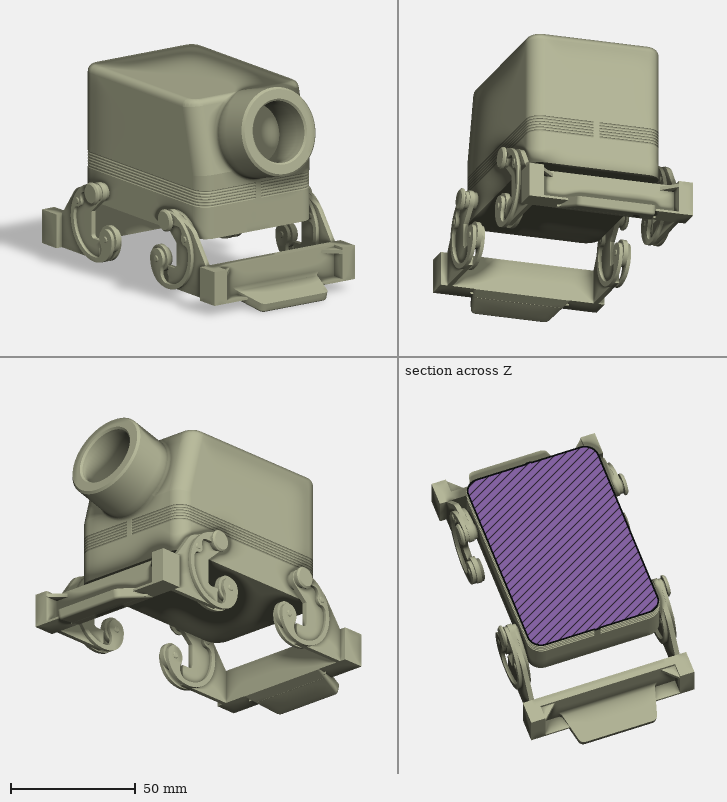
import cadquery as cq
import math

HOOD_LENGTH = 82.0
HOOD_WIDTH = 56.0
HOOD_HEIGHT = 55.8
CORNER_RADIUS = 6.0
TOP_RADIUS = 3.0
SLANT_ANGLE = 15.0
SLANT_START_Z = 26.5

GROOVE_COUNT = 6
GROOVE_RADIUS = 0.4
GROOVE_PITCH = 1.2
GROOVE_FIRST_Z = 13.6
GROOVE_GAP = 2.5

ENTRY_RADIUS = 18.0
ENTRY_LENGTH = 18.5
ENTRY_UP_SLANT = 13.2
ENTRY_RIM_CHAMFER = 0.9
ENTRY_ROOT_RADIUS = 1.0
ENTRY_ROOT_DEPTH = 8.0
CREASE_BOX_LOW = (31.5, -20.0, 20.0)
CREASE_BOX_HIGH = (44.0, 20.0, 70.0)
BORE_RADIUS = 12.5
BORE_CHAMFER = 0.75

LAYER_MID_Y = 31.0
PLATE_THICKNESS = 2.0
CHEEK_STACK = 5.0
RIVET_STACK = 5.8

PIN_X = -25.0
PIN_Z = 6.0
PIN_RADIUS = 2.6
PIN_EMBED = 1.0
HEAD_RADIUS = 4.5
HEAD_THICKNESS = 1.4
HEAD_EDGE = 0.7
OVERALL_WIDTH = 71.0

CHEEK_X = PIN_X
CHEEK_Z = -6.5
CHEEK_OUTER_RADIUS = 16.0
CHEEK_INNER_RADIUS = 14.0
HOOK_X = -17.4
HOOK_Z = -11.7
HOOK_RADIUS = 4.2
HOOK_OUTER_BLEND = 10.0
HOOK_INNER_BLEND = 4.0
ROLLER_RADIUS = 5.5
RIVET_RADIUS = 1.35
RIVET_CHAMFER = 0.35
LUG_X = -36.6
LUG_Z = 0.4
LUG_RADIUS = 2.5
LUG_UPPER_BLEND = 2.5
LUG_LOWER_BLEND = 2.5
ARM_LOWER_Z = 4.85

PLATE_PIN_RADIUS = 4.0
PLATE_BOTTOM_Z = -22.0
SHOULDER = (-39.6, 4.7)
SHOULDER_RADIUS = 7.0
NOTCH_SIDE_X = -29.0
NOTCH_TOP_Z = -2.7
NOTCH_FLOOR_Z = -13.6
NOTCH_RADIUS = 1.6
TOE_TOP_X = -23.4
TOE_BOTTOM_X = -23.9

BAR_OUTER_X = -58.8
BAR_INNER_X = -49.0
BAR_TOP_Z = -8.0
BAR_HALF_WIDTH = 34.75
BAR_END_BLOCK = 6.1
BAR_WALL = 3.8
BAR_FLOOR = 0.9
GUSSET_DROP = 1.1
GUSSET_THICKNESS = 1.5

TAB_ANGLE = 15.0
TAB_THICKNESS = 4.0
TAB_TIP_X = -66.535
TAB_ROOT_Z = -19.0
TAB_ROOT_HALF_WIDTH = 20.0
TAB_TAPER = 15.0
TAB_CORNER_RADIUS = 2.4
TAB_BOTTOM_RADIUS = 1.0
TAB_ROOT_BLEND = 1.5
TAB_BLEND_BOTTOM_Z = -22.8
ROOT_TOLERANCE = 0.01


def polar(center, radius, toward):
    """Point on a circle in the direction of another point."""
    dx = toward[0] - center[0]
    dz = toward[1] - center[1]
    length = math.hypot(dx, dz)
    return (center[0] + radius * dx / length, center[1] + radius * dz / length)


def crossing(c1, r1, c2, r2, side):
    """Crossing of two circles; side is +1 (left of c1->c2) or -1 (right)."""
    dx = c2[0] - c1[0]
    dz = c2[1] - c1[1]
    dist = math.hypot(dx, dz)
    along = (r1 ** 2 - r2 ** 2 + dist ** 2) / (2 * dist)
    off = side * math.sqrt(r1 ** 2 - along ** 2)
    return (c1[0] + (along * dx - off * dz) / dist, c1[1] + (along * dz + off * dx) / dist)


def tangent_point(point, center, radius, side):
    """Point where a line from an outside point touches a circle."""
    dist = math.hypot(point[0] - center[0], point[1] - center[1])
    return crossing(point, math.sqrt(dist ** 2 - radius ** 2), center, radius, side)


def layer(thickness):
    """XZ sketch plane whose extrusion is centred on the lever layer."""
    return cq.Workplane("XZ", origin=(0, LAYER_MID_Y + thickness / 2, 0))


def disc(center, radius, thickness):
    return layer(thickness).center(*center).circle(radius).extrude(thickness)


def make_hood():
    half = HOOD_LENGTH / 2
    slant_run = (HOOD_HEIGHT - SLANT_START_Z) * math.tan(math.radians(SLANT_ANGLE))
    outline = [
        (-half, 0),
        (half, 0),
        (half, SLANT_START_Z),
        (half - slant_run, HOOD_HEIGHT),
        (-half, HOOD_HEIGHT),
    ]
    hood = cq.Workplane("XZ").polyline(outline).close().extrude(HOOD_WIDTH / 2, both=True)
    slant_dir = cq.Vector(-math.sin(math.radians(SLANT_ANGLE)), 0, math.cos(math.radians(SLANT_ANGLE)))
    hood = hood.edges(cq.selectors.ParallelDirSelector(slant_dir) + cq.StringSyntaxSelector("|Z"))
    hood = hood.fillet(CORNER_RADIUS)
    return hood.faces(">Z").edges().fillet(TOP_RADIUS)


def cut_grooves(hood):
    """Half-round grooves following the hood outline, broken at both ends."""
    path = cq.Workplane("XY").rect(HOOD_LENGTH, HOOD_WIDTH).extrude(1).edges("|Z").fillet(CORNER_RADIUS)
    ring_path = cq.Workplane(path.faces("<Z").wires().val())
    start = (0, -HOOD_WIDTH / 2, 0)
    groove = cq.Workplane("YZ", origin=start).circle(GROOVE_RADIUS).sweep(ring_path)
    strip = cq.Workplane("XY").box(2 * HOOD_LENGTH, GROOVE_GAP, 4 * GROOVE_RADIUS)
    groove = groove.cut(strip)
    for i in range(GROOVE_COUNT):
        hood = hood.cut(groove.translate((0, 0, GROOVE_FIRST_Z + i * GROOVE_PITCH)))
    return hood


def entry_plane():
    """Plane on the slanted face, normal along the cable-entry axis."""
    angle = math.radians(SLANT_ANGLE)
    origin = (
        HOOD_LENGTH / 2 - ENTRY_UP_SLANT * math.sin(angle),
        0,
        SLANT_START_Z + ENTRY_UP_SLANT * math.cos(angle),
    )
    return cq.Plane(origin=origin, xDir=(0, 1, 0), normal=(math.cos(angle), 0, math.sin(angle)))


def add_entry(hood):
    plane = entry_plane()
    base = cq.Workplane(plane).workplane(offset=-ENTRY_ROOT_DEPTH)
    tube = base.circle(ENTRY_RADIUS).extrude(ENTRY_LENGTH + ENTRY_ROOT_DEPTH)
    tube = tube.faces(cq.selectors.DirectionMinMaxSelector(plane.zDir)).edges().chamfer(ENTRY_RIM_CHAMFER)
    body = hood.union(tube)
    crease = body.edges(cq.selectors.BoxSelector(CREASE_BOX_LOW, CREASE_BOX_HIGH)).edges("not %LINE")
    return crease.fillet(ENTRY_ROOT_RADIUS)


def bore_entry(body):
    mouth = cq.Workplane(entry_plane()).workplane(offset=ENTRY_LENGTH)
    body = body.cut(mouth.circle(BORE_RADIUS).extrude(-ENTRY_LENGTH))
    cone = mouth.circle(BORE_RADIUS + BORE_CHAMFER).extrude(-BORE_RADIUS - BORE_CHAMFER, taper=45)
    return body.cut(cone)


def make_cheeks():
    ring = (CHEEK_X, CHEEK_Z)
    hook = (HOOK_X, HOOK_Z)
    lug = (LUG_X, LUG_Z)
    pin_radius = CHEEK_Z + CHEEK_OUTER_RADIUS - PIN_Z
    outer_blend = crossing(
        ring, CHEEK_OUTER_RADIUS - HOOK_OUTER_BLEND, hook, HOOK_OUTER_BLEND - HOOK_RADIUS, -1)
    inner_blend = crossing(
        ring, CHEEK_INNER_RADIUS - HOOK_INNER_BLEND, hook, HOOK_RADIUS + HOOK_INNER_BLEND, -1)
    lug_low = crossing(
        ring, CHEEK_INNER_RADIUS - LUG_LOWER_BLEND, lug, LUG_RADIUS + LUG_LOWER_BLEND, 1)
    lug_high_z = ARM_LOWER_Z - LUG_UPPER_BLEND
    reach = LUG_RADIUS + LUG_UPPER_BLEND
    lug_high = (LUG_X + math.sqrt(reach ** 2 - (lug_high_z - LUG_Z) ** 2), lug_high_z)

    def beyond(center, other):
        """Point on the far side of `center` from `other`."""
        return (2 * center[0] - other[0], 2 * center[1] - other[1])

    def mid_arc(center, radius, a, b):
        """Middle of the shorter arc between two points of a circle."""
        return polar(center, radius, ((a[0] + b[0]) / 2, (a[1] + b[1]) / 2))

    top = (PIN_X, PIN_Z + pin_radius)
    outer_end = polar(outer_blend, HOOK_OUTER_BLEND, beyond(outer_blend, ring))
    hook_out = polar(hook, HOOK_RADIUS, beyond(hook, outer_blend))
    hook_in = polar(hook, HOOK_RADIUS, inner_blend)
    inner_end = polar(inner_blend, HOOK_INNER_BLEND, beyond(inner_blend, ring))
    lug_low_ring = polar(lug_low, LUG_LOWER_BLEND, beyond(lug_low, ring))
    lug_low_lug = polar(lug, LUG_RADIUS, lug_low)
    lug_high_lug = polar(lug, LUG_RADIUS, lug_high)
    arm_start = (lug_high[0], ARM_LOWER_Z)
    pin_drop = ARM_LOWER_Z - PIN_Z
    arm_end = (PIN_X - math.sqrt(pin_radius ** 2 - pin_drop ** 2), ARM_LOWER_Z)

    cheeks = (
        layer(CHEEK_STACK)
        .moveTo(*top)
        .threePointArc((CHEEK_X - CHEEK_OUTER_RADIUS, CHEEK_Z), outer_end)
        .threePointArc(mid_arc(outer_blend, HOOK_OUTER_BLEND, outer_end, hook_out), hook_out)
        .threePointArc((HOOK_X, HOOK_Z + HOOK_RADIUS), hook_in)
        .threePointArc(mid_arc(inner_blend, HOOK_INNER_BLEND, hook_in, inner_end), inner_end)
        .threePointArc(mid_arc(ring, CHEEK_INNER_RADIUS, inner_end, lug_low_ring), lug_low_ring)
        .threePointArc(mid_arc(lug_low, LUG_LOWER_BLEND, lug_low_ring, lug_low_lug), lug_low_lug)
        .threePointArc(mid_arc(lug, LUG_RADIUS, lug_low_lug, lug_high_lug), lug_high_lug)
        .threePointArc(mid_arc(lug_high, LUG_UPPER_BLEND, lug_high_lug, arm_start), arm_start)
        .lineTo(*arm_end)
        .threePointArc((PIN_X + pin_radius, PIN_Z), top)
        .close()
        .extrude(CHEEK_STACK)
    )
    clearance = disc(ring, 2 * CHEEK_OUTER_RADIUS, PLATE_THICKNESS)
    return cheeks.cut(clearance)


def make_plate():
    pin = (PIN_X, PIN_Z)
    notch_top = (NOTCH_SIDE_X, NOTCH_TOP_Z)
    upper = tangent_point(SHOULDER, pin, PLATE_PIN_RADIUS, 1)
    lower = tangent_point(notch_top, pin, PLATE_PIN_RADIUS, -1)
    plate = (
        layer(PLATE_THICKNESS)
        .moveTo(BAR_INNER_X, PLATE_BOTTOM_Z)
        .lineTo(BAR_INNER_X, BAR_TOP_Z)
        .lineTo(*SHOULDER)
        .lineTo(*upper)
        .threePointArc((PIN_X + PLATE_PIN_RADIUS, PIN_Z), lower)
        .lineTo(*notch_top)
        .lineTo(NOTCH_SIDE_X, NOTCH_FLOOR_Z)
        .lineTo(TOE_TOP_X, NOTCH_FLOOR_Z)
        .lineTo(TOE_BOTTOM_X, PLATE_BOTTOM_Z)
        .close()
        .extrude(PLATE_THICKNESS)
    )

    def edge_at(point):
        return cq.selectors.NearestToPointSelector((point[0], LAYER_MID_Y, point[1]))

    plate = plate.edges("|Y").edges(edge_at(SHOULDER)).fillet(SHOULDER_RADIUS)
    return plate.edges("|Y").edges(edge_at((NOTCH_SIDE_X, NOTCH_FLOOR_Z))).fillet(NOTCH_RADIUS)


def make_pin():
    inner_y = HOOD_WIDTH / 2 - PIN_EMBED
    outer_y = OVERALL_WIDTH / 2
    outer_plane = cq.Workplane("XZ", origin=(PIN_X, outer_y, PIN_Z))
    shank = outer_plane.circle(PIN_RADIUS).extrude(outer_y - inner_y)
    head = outer_plane.circle(HEAD_RADIUS).extrude(HEAD_THICKNESS)
    head = head.faces(">Y").edges().chamfer(HEAD_EDGE)
    return shank.union(head)


def make_lever_side():
    """Everything at one end of the handle bar, on the +Y side."""
    side = make_plate().union(make_cheeks())
    side = side.union(disc((HOOK_X, HOOK_Z), ROLLER_RADIUS, PLATE_THICKNESS))
    for center in ((LUG_X, LUG_Z), (HOOK_X, HOOK_Z)):
        side = side.union(disc(center, RIVET_RADIUS, RIVET_STACK).faces("<Y or >Y").chamfer(RIVET_CHAMFER))
    return side.union(make_pin())


def make_tab():
    """Flat tapered plate, sloping down and away from the bar wall."""
    angle = math.radians(TAB_ANGLE)
    taper = math.tan(math.radians(TAB_TAPER))
    wall_x = BAR_INNER_X - BAR_WALL
    outside = (wall_x - TAB_TIP_X) / math.cos(angle)
    inside = 2 * BAR_WALL
    tip_half = TAB_ROOT_HALF_WIDTH - outside * taper
    heel_half = TAB_ROOT_HALF_WIDTH + inside * taper
    top_face = cq.Plane(
        origin=(wall_x, 0, TAB_ROOT_Z),
        xDir=(math.cos(angle), 0, math.sin(angle)),
        normal=(-math.sin(angle), 0, math.cos(angle)),
    )
    plan = [(-outside, -tip_half), (inside, -heel_half), (inside, heel_half), (-outside, tip_half)]
    tab = cq.Workplane(top_face).polyline(plan).close().extrude(-TAB_THICKNESS)
    upright = cq.selectors.ParallelDirSelector(top_face.zDir)
    tip = cq.selectors.DirectionMinMaxSelector(top_face.xDir, directionMax=False)
    tab = tab.edges(upright).edges(tip).fillet(TAB_CORNER_RADIUS)
    tab = tab.faces(cq.selectors.DirectionMinMaxSelector(top_face.zDir, directionMax=False))
    tab = tab.edges().fillet(TAB_BOTTOM_RADIUS)
    span = BAR_INNER_X - 2 * TAB_TIP_X
    keep = cq.Workplane("XY").box(span, 2 * BAR_HALF_WIDTH, span)
    return tab.intersect(keep.translate((BAR_INNER_X - span / 2, 0, 0)))


def make_tab_root():
    """Tab joined to the bar wall, with its top and sides blended into the wall."""
    wall_x = BAR_INNER_X - BAR_WALL
    depth = 2 * (BAR_TOP_Z - PLATE_BOTTOM_Z)

    def block_below(front_x, top_z):
        block = cq.Workplane("XY", origin=(front_x, -BAR_HALF_WIDTH, top_z - depth))
        return block.box(BAR_INNER_X - front_x, 2 * BAR_HALF_WIDTH, depth, centered=False)

    tab = make_tab()
    root = block_below(wall_x, BAR_TOP_Z).union(tab)
    corner = (wall_x, TAB_ROOT_HALF_WIDTH + TAB_THICKNESS, TAB_ROOT_Z + TAB_THICKNESS)
    opposite = (wall_x, -corner[1], TAB_ROOT_Z - 2 * TAB_THICKNESS)
    around = cq.selectors.BoxSelector(
        (wall_x - ROOT_TOLERANCE, opposite[1], opposite[2]),
        (wall_x + ROOT_TOLERANCE, corner[1], corner[2]),
    )
    root = root.edges(around).fillet(TAB_ROOT_BLEND)
    root = root.cut(block_below(wall_x, PLATE_BOTTOM_Z))
    root = root.cut(block_below(wall_x - TAB_ROOT_BLEND, TAB_BLEND_BOTTOM_Z))
    return root.union(tab)


def make_bar():
    """Channel open upwards and outwards, with corner gussets and the finger tab."""
    length = BAR_INNER_X - BAR_OUTER_X
    wall_x = BAR_INNER_X - BAR_WALL
    pocket_half = BAR_HALF_WIDTH - BAR_END_BLOCK
    height = BAR_TOP_Z - PLATE_BOTTOM_Z
    corner = cq.Workplane("XY", origin=(BAR_OUTER_X, -BAR_HALF_WIDTH, PLATE_BOTTOM_Z))
    bar = corner.box(length, 2 * BAR_HALF_WIDTH, height, centered=False)
    pocket = cq.Workplane("XY", origin=(BAR_OUTER_X, -pocket_half, PLATE_BOTTOM_Z + BAR_FLOOR))
    bar = bar.cut(pocket.box(length - BAR_WALL, 2 * pocket_half, height, centered=False))
    leg = wall_x - BAR_OUTER_X
    gusset_top = cq.Workplane("XY", origin=(0, 0, BAR_TOP_Z - GUSSET_DROP))
    triangle = [(wall_x, pocket_half), (wall_x - leg, pocket_half), (wall_x, pocket_half - leg)]
    gusset = gusset_top.polyline(triangle).close().extrude(-GUSSET_THICKNESS)
    bar = bar.union(gusset).union(gusset.mirror("XZ"))
    return bar.union(make_tab_root())


def make_lever():
    side = make_lever_side()
    return make_bar().union(side).union(side.mirror("XZ"))


hood = bore_entry(add_entry(cut_grooves(make_hood())))
lever = make_lever()
result = hood.union(lever).union(lever.mirror("YZ"))